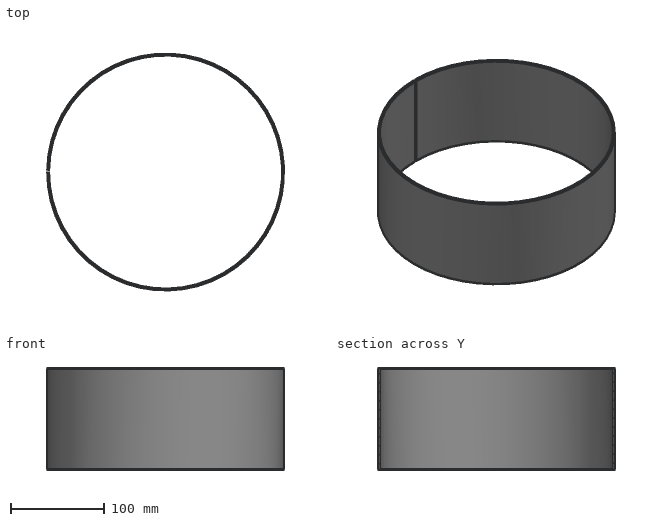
import cadquery as cq

outer_radius = 127.5
height = 110.0
wall = 2.5
chamfer_width = 0.5
chamfer_height = 1.5
split_angle = 1.0

inner_radius = outer_radius - wall
outer_rim_radius = outer_radius - chamfer_width
inner_rim_radius = inner_radius + chamfer_width
half_height = height / 2
side_half_height = half_height - chamfer_height


def wall_section():
    """Wall cross-section on the -X side, with all four edges chamfered."""
    return (
        cq.Workplane("XZ")
        .moveTo(-inner_radius, -side_half_height)
        .lineTo(-inner_rim_radius, -half_height)
        .lineTo(-outer_rim_radius, -half_height)
        .lineTo(-outer_radius, -side_half_height)
        .lineTo(-outer_radius, side_half_height)
        .lineTo(-outer_rim_radius, half_height)
        .lineTo(-inner_rim_radius, half_height)
        .lineTo(-inner_radius, side_half_height)
        .close()
    )


result = wall_section().revolve(360 - split_angle, (0, 0, 0), (0, 1, 0))